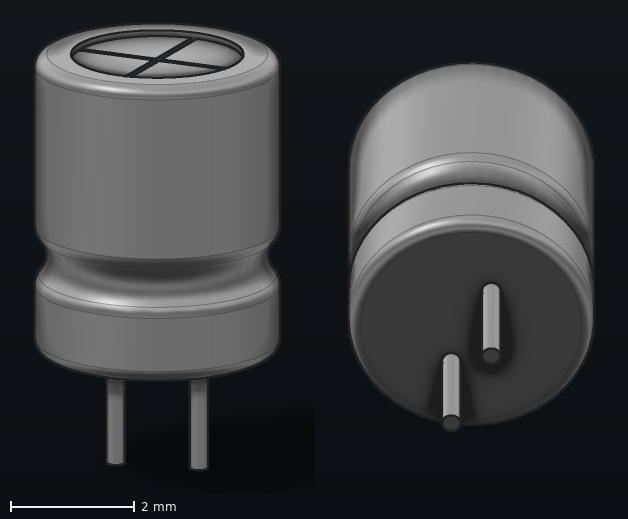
import cadquery as cq
import math

TOTAL_HEIGHT = 7.0
BODY_DIAMETER = 4.0
BODY_HEIGHT = 5.0
RIM_FILLET = 0.2

CRIMP_CENTER_Z = 1.6
CRIMP_WIDTH = 1.0
CRIMP_RADIUS = 0.5
CRIMP_BLEND_RADIUS = 0.25

RECESS_DIAMETER = 2.8
RECESS_DEPTH = 0.1
VENT_WIDTH = 0.1
VENT_DEPTH = 0.1

LEAD_DIAMETER = 0.3
LEAD_PITCH = 1.5
LEAD_LENGTH_DIFFERENCE = 0.1
LONG_LEAD = TOTAL_HEIGHT - BODY_HEIGHT
SHORT_LEAD = LONG_LEAD - LEAD_LENGTH_DIFFERENCE

body_radius = BODY_DIAMETER / 2
recess_floor_z = BODY_HEIGHT - RECESS_DEPTH


def make_can():
    """Revolve the can profile, including the rounded rims and the crimp."""
    crimp_angle = math.asin(CRIMP_WIDTH / 2 / (CRIMP_RADIUS + CRIMP_BLEND_RADIUS))
    crimp_depth = (CRIMP_RADIUS + CRIMP_BLEND_RADIUS) * (1 - math.cos(crimp_angle))
    joint_radius = body_radius - CRIMP_BLEND_RADIUS * (1 - math.cos(crimp_angle))
    joint_offset = CRIMP_RADIUS * math.sin(crimp_angle)

    def blend_middle(side):
        half_angle = crimp_angle / 2
        radius = body_radius - CRIMP_BLEND_RADIUS * (1 - math.cos(half_angle))
        offset = CRIMP_WIDTH / 2 - CRIMP_BLEND_RADIUS * math.sin(half_angle)
        return (radius, CRIMP_CENTER_Z + side * offset)

    profile = (
        cq.Workplane("XZ")
        .lineTo(body_radius, 0)
        .lineTo(body_radius, CRIMP_CENTER_Z - CRIMP_WIDTH / 2)
        .threePointArc(blend_middle(-1), (joint_radius, CRIMP_CENTER_Z - joint_offset))
        .threePointArc(
            (body_radius - crimp_depth, CRIMP_CENTER_Z),
            (joint_radius, CRIMP_CENTER_Z + joint_offset),
        )
        .threePointArc(blend_middle(1), (body_radius, CRIMP_CENTER_Z + CRIMP_WIDTH / 2))
        .lineTo(body_radius, BODY_HEIGHT)
        .lineTo(0, BODY_HEIGHT)
        .close()
    )
    can = profile.revolve(360, (0, 0, 0), (0, 1, 0))
    return can.faces("<Z or >Z").edges().fillet(RIM_FILLET)


def make_top_cut():
    """Round recess plus the cross vent sunk into its floor."""
    recess = (
        cq.Workplane("XY", origin=(0, 0, recess_floor_z))
        .circle(RECESS_DIAMETER / 2)
        .extrude(RECESS_DEPTH)
    )
    vent_plane = cq.Workplane("XY", origin=(0, 0, recess_floor_z - VENT_DEPTH))
    slot_x = vent_plane.rect(RECESS_DIAMETER, VENT_WIDTH).extrude(VENT_DEPTH)
    slot_y = vent_plane.rect(VENT_WIDTH, RECESS_DIAMETER).extrude(VENT_DEPTH)
    vent_limit = vent_plane.circle(RECESS_DIAMETER / 2).extrude(VENT_DEPTH)
    return recess.union(slot_x.union(slot_y).intersect(vent_limit))


def make_lead(x, length):
    """Straight round lead hanging from the base of the can."""
    return cq.Workplane("XY", origin=(x, 0, 0)).circle(LEAD_DIAMETER / 2).extrude(-length)


result = (
    make_can()
    .cut(make_top_cut())
    .union(make_lead(-LEAD_PITCH / 2, LONG_LEAD))
    .union(make_lead(LEAD_PITCH / 2, SHORT_LEAD))
)